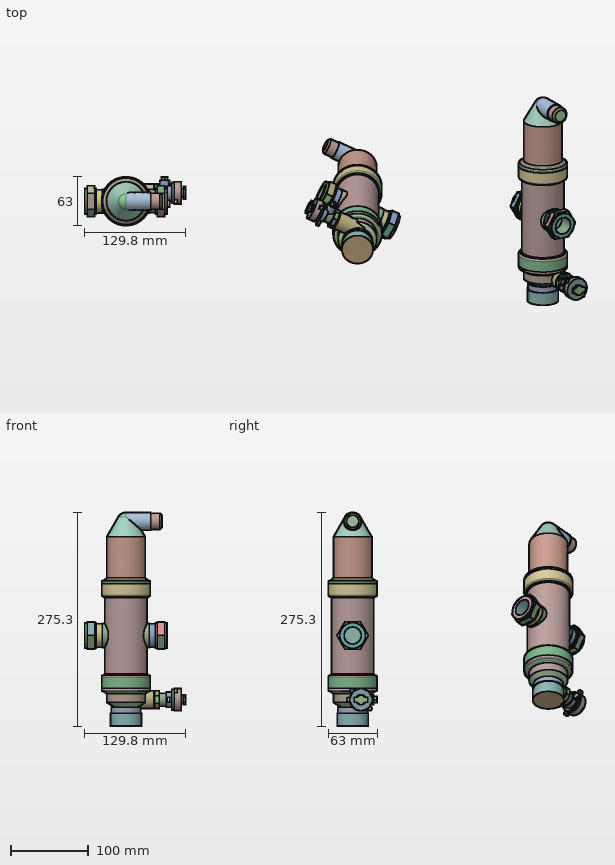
import cadquery as cq
import math

TOTAL_HEIGHT = 275.3
CAP_DIA = 49.8
MIDDLE_DIA = 54.8
RING_DIA = 63.0
FOOT_DIA = 40.2
FOOT_NECK_DIA = 38.5
FOOT_HEIGHT = 16.8
FOOT_NECK_TOP = 24.5
LOWER_CONE_SMALL_DIA = 30.3
LOWER_CONE_TOP = 30.5

RING_HEIGHT = 25.5
RING_CAP_FLARE = 1.7
RING_CAP_FLARE_DIA = 53.5
RING_CAP_SHOULDER = 1.7
RING_CAP_ROUND = 1.7
RING_TUBE_FLARE = 1.5
RING_TUBE_ROUND = 2.5
RING_SEAM = 7.5
LOWER_RING_BOTTOM = 41.5
UPPER_RING_TOP = 190.8

ELBOW_DIA = 23.0
ELBOW_LENGTH = 32.2
ELBOW_TIP_DIA = 21.2
ELBOW_REACH = 46.5
ELBOW_TIP_CHAMFER = 2.8
CONE_HALF_ANGLE = math.radians(30)
ELBOW_Z = TOTAL_HEIGHT - ELBOW_DIA / 2

PORT_Z = 116.7
PORT_DIA = 31.0
PORT_REACH = 30.3
UNION_TAIL_DIA = 30.3
UNION_COLLAR_START = 38.0
UNION_HEX_START = 40.2
UNION_HEX_END = 49.8
UNION_END = 53.0
UNION_COLLAR_DIA = 33.0
UNION_ACROSS_FLATS = 35.0
UNION_BORE_DIA = 22.0

DRAIN_Y = 10.7
DRAIN_Z = 34.0
DRAIN_PIPE_DIA = 23.0
DRAIN_PIPE_END = 37.0
DRAIN_PIPE_CHAMFER = 1.5

VALVE_OCTAGON_END = 43.0
VALVE_OCTAGON_FLATS = 23.0
VALVE_NECK_DIA = 17.0
VALVE_COLLAR_START = 51.8
VALVE_COLLAR_END = 58.6
VALVE_COLLAR_DIA = 20.0
LUG_WIDTH = 6.5
COLLAR_LUG_REACH = 11.5
TAB_START = 52.9
TAB_THICKNESS = 3.5
TAB_REACH = 18.5

SPINDLE_X = 49.8
SPINDLE_DIA = 13.0
SPINDLE_SHOULDER_Y = 27.0
SPINDLE_END = 31.5
SPINDLE_HEAD_DIAGONAL = 8.3

COUPLING_SHOULDER_DIA = 27.0
COUPLING_SHOULDER_END = 62.0
COUPLING_RING_DIA = 29.0
COUPLING_RING_END = 71.3
STUB_DIA = 11.0
STUB_END = 73.5
STUB_LIP_DIA = 13.0
STUB_LIP_END = 76.8
STUB_WING_SPAN = 16.8
GRIP_DIA = 5.5
GRIP_LENGTH = 4.0
GRIP_CENTRE_RADIUS = 16.2
GRIP_ANGLES = (135, -45)


def plane_along_x(x, y, z):
    """Plane facing +X, with local x along +Y and local y along +Z."""
    return cq.Workplane(cq.Plane(origin=(x, y, z), xDir=(0, 1, 0), normal=(1, 0, 0)))


def rod_along_x(start, end, diameter, y, z):
    return plane_along_x(start, y, z).circle(diameter / 2).extrude(end - start)


def drain_rod(start, end, diameter):
    return rod_along_x(start, end, diameter, DRAIN_Y, DRAIN_Z)


def revolve_about_z(profile):
    return profile.revolve(360, (0, 0, 0), (0, 1, 0))


def cap_half_of_ring(cap_end_z, direction):
    """Ring from the cap up to the seam; direction (+1 or -1) leads from the cap to the middle tube."""
    wall_radius = RING_DIA / 2
    wall_start = RING_CAP_FLARE + RING_CAP_SHOULDER + RING_CAP_ROUND
    arc_leg = RING_CAP_ROUND * math.sqrt(0.5)

    def point(radius, distance):
        return radius, cap_end_z + direction * distance

    profile = (
        cq.Workplane("XZ")
        .moveTo(*point(0, 0))
        .lineTo(*point(CAP_DIA / 2, 0))
        .lineTo(*point(RING_CAP_FLARE_DIA / 2, RING_CAP_FLARE))
        .lineTo(*point(wall_radius - RING_CAP_ROUND, wall_start - RING_CAP_ROUND))
        .threePointArc(
            point(wall_radius - RING_CAP_ROUND + arc_leg, wall_start - arc_leg),
            point(wall_radius, wall_start),
        )
        .lineTo(*point(wall_radius, RING_SEAM))
        .lineTo(*point(0, RING_SEAM))
        .close()
    )
    return revolve_about_z(profile)


def tube_half_of_ring(cap_end_z, direction):
    """Ring from the seam to the middle tube; direction leads from the cap to the middle tube."""
    wall_radius = RING_DIA / 2
    wall_end = RING_HEIGHT - RING_TUBE_FLARE - RING_TUBE_ROUND
    arc_leg = RING_TUBE_ROUND * math.sqrt(0.5)

    def point(radius, distance):
        return radius, cap_end_z + direction * distance

    profile = (
        cq.Workplane("XZ")
        .moveTo(*point(0, RING_SEAM))
        .lineTo(*point(wall_radius, RING_SEAM))
        .lineTo(*point(wall_radius, wall_end))
        .threePointArc(
            point(wall_radius - RING_TUBE_ROUND + arc_leg, wall_end + arc_leg),
            point(wall_radius - RING_TUBE_ROUND, wall_end + RING_TUBE_ROUND),
        )
        .lineTo(*point(MIDDLE_DIA / 2, RING_HEIGHT))
        .lineTo(*point(0, RING_HEIGHT))
        .close()
    )
    return revolve_about_z(profile)


def make_lower_cap():
    """Foot, cone and cylinder below the lower ring, with the drain pipe on the side."""
    profile = cq.Workplane("XZ").polyline([
        (0, 0),
        (FOOT_DIA / 2, 0),
        (FOOT_DIA / 2, FOOT_HEIGHT),
        (FOOT_NECK_DIA / 2, FOOT_HEIGHT),
        (FOOT_NECK_DIA / 2, FOOT_NECK_TOP),
        (LOWER_CONE_SMALL_DIA / 2, FOOT_NECK_TOP),
        (CAP_DIA / 2, LOWER_CONE_TOP),
        (CAP_DIA / 2, LOWER_RING_BOTTOM),
        (0, LOWER_RING_BOTTOM),
    ]).close()
    drain_pipe = drain_rod(0, DRAIN_PIPE_END, DRAIN_PIPE_DIA).faces(">X").chamfer(DRAIN_PIPE_CHAMFER)
    ring = cap_half_of_ring(LOWER_RING_BOTTOM, 1)
    return revolve_about_z(profile).union(ring).union(drain_pipe)


def make_middle_tube():
    """Tube between the two rings, with a port on each side."""
    bottom = LOWER_RING_BOTTOM + RING_HEIGHT
    top = UPPER_RING_TOP - RING_HEIGHT
    tube = cq.Workplane("XY").workplane(offset=bottom).circle(MIDDLE_DIA / 2).extrude(top - bottom)
    return (
        tube
        .union(tube_half_of_ring(LOWER_RING_BOTTOM, 1))
        .union(tube_half_of_ring(UPPER_RING_TOP, -1))
        .union(rod_along_x(-PORT_REACH, PORT_REACH, PORT_DIA, 0, PORT_Z))
    )


def vent_elbow():
    pipe = rod_along_x(0, ELBOW_LENGTH, ELBOW_DIA, 0, ELBOW_Z)
    tip = rod_along_x(ELBOW_LENGTH, ELBOW_REACH, ELBOW_TIP_DIA, 0, ELBOW_Z)
    return pipe.union(tip.faces(">X").chamfer(ELBOW_TIP_CHAMFER))


def make_upper_cap():
    """Cylinder above the upper ring and a cone that runs tangent into the elbow's ball end."""
    ball_radius = ELBOW_DIA / 2
    sine = math.sin(CONE_HALF_ANGLE)
    cosine = math.cos(CONE_HALF_ANGLE)
    tangent_radius = ball_radius * cosine
    tangent_z = ELBOW_Z + ball_radius * sine
    cone_base_z = tangent_z - (CAP_DIA / 2 - tangent_radius) / math.tan(CONE_HALF_ANGLE)
    profile = (
        cq.Workplane("XZ")
        .moveTo(0, UPPER_RING_TOP)
        .lineTo(CAP_DIA / 2, UPPER_RING_TOP)
        .lineTo(CAP_DIA / 2, cone_base_z)
        .lineTo(tangent_radius, tangent_z)
        .threePointArc((ball_radius * sine, ELBOW_Z + ball_radius * cosine), (0, TOTAL_HEIGHT))
        .close()
    )
    ring = cap_half_of_ring(UPPER_RING_TOP, -1)
    return revolve_about_z(profile).union(ring).union(vent_elbow())


def make_pipe_union(turn):
    """Pipe union on the +X port, turned about the Z axis by the given angle."""
    corner_dia = UNION_ACROSS_FLATS / math.cos(math.pi / 6)
    hexagon = (
        plane_along_x(UNION_HEX_START, 0, PORT_Z)
        .polygon(6, corner_dia)
        .extrude(UNION_HEX_END - UNION_HEX_START)
    )
    return (
        rod_along_x(PORT_REACH, UNION_COLLAR_START, UNION_TAIL_DIA, 0, PORT_Z)
        .union(rod_along_x(UNION_COLLAR_START, UNION_END, UNION_COLLAR_DIA, 0, PORT_Z))
        .union(hexagon)
        .cut(rod_along_x(PORT_REACH, UNION_END, UNION_BORE_DIA, 0, PORT_Z))
        .rotate((0, 0, 0), (0, 0, 1), turn)
    )


def valve_spindle():
    """Round boss from the drain axis toward +Y, with a square head standing on its corner."""
    def plane_along_y(y):
        return cq.Workplane(cq.Plane(origin=(SPINDLE_X, y, DRAIN_Z), xDir=(1, 0, 0), normal=(0, 1, 0)))

    boss = plane_along_y(DRAIN_Y).circle(SPINDLE_DIA / 2).extrude(SPINDLE_SHOULDER_Y - DRAIN_Y)
    head = (
        plane_along_y(SPINDLE_SHOULDER_Y)
        .polygon(4, SPINDLE_HEAD_DIAGONAL)
        .extrude(SPINDLE_END - SPINDLE_SHOULDER_Y)
    )
    return boss.union(head)


def valve_tab():
    """Round-ended tab that points toward -Y."""
    end_radius = LUG_WIDTH / 2
    straight = TAB_REACH - end_radius
    return (
        plane_along_x(TAB_START, DRAIN_Y, DRAIN_Z)
        .moveTo(0, end_radius)
        .lineTo(-straight, end_radius)
        .threePointArc((-TAB_REACH, 0), (-straight, -end_radius))
        .lineTo(0, -end_radius)
        .close()
        .extrude(TAB_THICKNESS)
    )


def valve_body():
    octagon_corner_dia = VALVE_OCTAGON_FLATS / math.cos(math.pi / 8)
    octagon = (
        plane_along_x(DRAIN_PIPE_END, DRAIN_Y, DRAIN_Z)
        .transformed(rotate=(0, 0, 180 / 8))
        .polygon(8, octagon_corner_dia)
        .extrude(VALVE_OCTAGON_END - DRAIN_PIPE_END)
    )
    collar_lugs = (
        plane_along_x(TAB_START, DRAIN_Y, DRAIN_Z)
        .rect(2 * COLLAR_LUG_REACH, LUG_WIDTH)
        .extrude(VALVE_COLLAR_END - TAB_START)
    )
    return (
        octagon
        .union(drain_rod(VALVE_OCTAGON_END, VALVE_COLLAR_START, VALVE_NECK_DIA))
        .union(drain_rod(VALVE_COLLAR_START, VALVE_COLLAR_END, VALVE_COLLAR_DIA))
        .union(collar_lugs)
        .union(valve_tab())
    )


def hose_coupling():
    wings = (
        plane_along_x(STUB_END, DRAIN_Y, DRAIN_Z)
        .rect(STUB_WING_SPAN, LUG_WIDTH)
        .extrude(STUB_LIP_END - STUB_END)
    )
    coupling = (
        drain_rod(VALVE_COLLAR_END, COUPLING_SHOULDER_END, COUPLING_SHOULDER_DIA)
        .union(drain_rod(COUPLING_SHOULDER_END, COUPLING_RING_END, COUPLING_RING_DIA))
        .union(drain_rod(COUPLING_RING_END, STUB_END, STUB_DIA))
        .union(drain_rod(STUB_END, STUB_LIP_END, STUB_LIP_DIA))
        .union(wings)
    )
    grip_end = COUPLING_SHOULDER_END + GRIP_LENGTH
    for angle in GRIP_ANGLES:
        grip_y = DRAIN_Y + GRIP_CENTRE_RADIUS * math.cos(math.radians(angle))
        grip_z = DRAIN_Z + GRIP_CENTRE_RADIUS * math.sin(math.radians(angle))
        coupling = coupling.union(rod_along_x(COUPLING_SHOULDER_END, grip_end, GRIP_DIA, grip_y, grip_z))
    return coupling


def make_drain_valve():
    return valve_body().union(valve_spindle()).union(hose_coupling())


lower_cap = make_lower_cap()
middle_tube = make_middle_tube()
upper_cap = make_upper_cap()
pipe_unions = [make_pipe_union(turn) for turn in (0, 180)]
drain_valve = make_drain_valve()

result = cq.Compound.makeCompound([
    lower_cap.val(),
    middle_tube.val(),
    upper_cap.val(),
    *[pipe_union.val() for pipe_union in pipe_unions],
    drain_valve.val(),
])